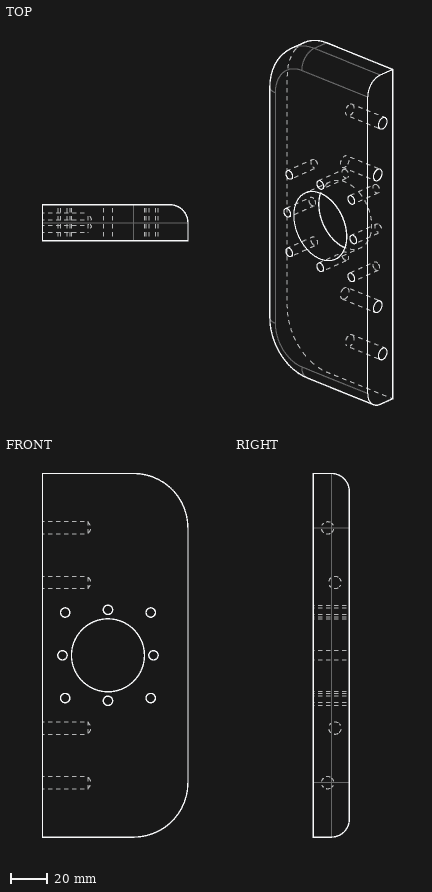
import cadquery as cq
import math

width = 80.0
thickness = 20.0
height = 200.0
corner_radius = 30.0
back_edge_radius = 10.0

bore_x = 36.0
bore_diameter = 40.0
small_hole_diameter = 5.0
cross_radius = 25.0
square_spacing = 47.0

side_hole_diameter = 6.8
side_hole_depth = 25.0
drill_tip_angle = 118.0
outer_pair_y = 8.0
outer_pair_z = 70.0
inner_pair_y = 12.0
inner_pair_z = 40.0


def make_plate():
    """Plate with rounded +X corners; the back edge is rounded except along the straight side."""
    plate = cq.Workplane("XY").box(width, thickness, height, centered=(False, False, True))
    plate = plate.edges("|Y and >X").fillet(corner_radius)
    return plate.faces(">Y").edges("not <X").fillet(back_edge_radius)


def through_holes(points, diameter):
    """Cylinders along +Y through the plate, at (x, z) offsets from the bore axis."""
    plane = cq.Plane(origin=(bore_x, 0, 0), xDir=(1, 0, 0), normal=(0, -1, 0))
    return cq.Workplane(plane).pushPoints(points).circle(diameter / 2).extrude(-thickness)


def side_hole(y, z):
    """Drilled hole along +X from the straight side, ending in a conical tip."""
    radius = side_hole_diameter / 2
    tip_length = radius / math.tan(math.radians(drill_tip_angle / 2))
    half_section = [
        (0, 0),
        (0, radius),
        (side_hole_depth, radius),
        (side_hole_depth + tip_length, 0),
    ]
    drill = cq.Workplane("XY").polyline(half_section).close().revolve(360, (0, 0), (1, 0))
    return drill.translate((0, y, z))


cross_points = [(cross_radius, 0), (-cross_radius, 0), (0, cross_radius), (0, -cross_radius)]
half_spacing = square_spacing / 2
square_points = [(sx * half_spacing, sz * half_spacing) for sx in (-1, 1) for sz in (-1, 1)]

result = make_plate()
result = result.cut(through_holes([(0, 0)], bore_diameter))
result = result.cut(through_holes(cross_points + square_points, small_hole_diameter))
for side in (-1, 1):
    result = result.cut(side_hole(outer_pair_y, side * outer_pair_z))
    result = result.cut(side_hole(inner_pair_y, side * inner_pair_z))